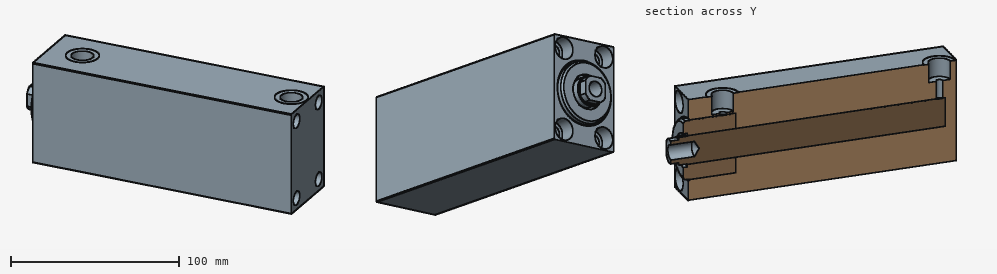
import cadquery as cq
import math

TOTAL_LENGTH = 181.0
ROD_PROJECTION = 11.0
HOUSING_LENGTH = TOTAL_LENGTH - ROD_PROJECTION
HOUSING_WIDTH = 45.0
HOUSING_HEIGHT = 65.0
HOUSING_EDGE_CHAMFER = 0.5

MOUNT_SPACING_Y = 30.0
MOUNT_SPACING_Z = 50.0
MOUNT_HOLE_DIA = 8.7
MOUNT_COUNTERBORE_DIA = 13.4
MOUNT_COUNTERBORE_DEPTH = 10.0

FRONT_PORT_X = 21.9
REAR_PORT_FROM_BACK = 10.7
PORT_POSITIONS_X = (FRONT_PORT_X, HOUSING_LENGTH - REAR_PORT_FROM_BACK)
PORT_SPOTFACE_DIA = 20.0
PORT_SPOTFACE_DEPTH = 0.2
PORT_THREAD_DIA = 13.4
PORT_THREAD_DEPTH = 12.0
PORT_DRILL_DIA = 4.0

GLAND_DIA = 38.0
GLAND_PROJECTION = 3.3
GLAND_CHAMFER = 1.3
GLAND_END_X = 30.0
GLAND_SEAT_CHAMFER = 1.0
ROD_RECESS_DIA = 21.4
ROD_RECESS_DEPTH = 2.7

ROD_DIA = 18.1
ROD_END_X = 162.9
ROD_SHOULDER_PROJECTION = 6.0
ROD_SHOULDER_CHAMFER = 0.5
TIP_DIA = ROD_DIA - 2 * ROD_SHOULDER_CHAMFER
TIP_ACROSS_FLATS = 15.0
TIP_LENGTH = ROD_PROJECTION - ROD_SHOULDER_PROJECTION
TIP_HOLE_DIA = 9.5
TIP_HOLE_DEPTH = 15.0
DRILL_POINT_ANGLE = 118.0


def x_cylinder(diameter, start_x, end_x):
    """Cylinder on the X axis between two X positions."""
    return cq.Workplane("YZ", origin=(start_x, 0, 0)).circle(diameter / 2).extrude(end_x - start_x)


def z_cylinder(diameter, x, bottom_z, top_z):
    """Vertical cylinder at Y = 0 between two heights."""
    return cq.Workplane("XY", origin=(x, 0, bottom_z)).circle(diameter / 2).extrude(top_z - bottom_z)


def mount_cylinders(diameter, depth):
    """Four cylinders in the mounting pattern, going back from the front face."""
    return (
        cq.Workplane("YZ")
        .rect(MOUNT_SPACING_Y, MOUNT_SPACING_Z, forConstruction=True)
        .vertices()
        .circle(diameter / 2)
        .extrude(depth)
    )


def port_cavity(x):
    """Spotfaced port whose small drilling runs down to the cylinder axis."""
    top = HOUSING_HEIGHT / 2
    drilling = z_cylinder(PORT_DRILL_DIA, x, 0, top)
    thread = z_cylinder(PORT_THREAD_DIA, x, top - PORT_THREAD_DEPTH, top)
    spotface = z_cylinder(PORT_SPOTFACE_DIA, x, top - PORT_SPOTFACE_DEPTH, top)
    return drilling.union(thread).union(spotface)


def seat_mouth():
    """Cone that chamfers the mouth of the gland seat."""
    seat_radius = GLAND_DIA / 2
    mouth = cq.Solid.makeCone(
        seat_radius + GLAND_SEAT_CHAMFER,
        seat_radius,
        GLAND_SEAT_CHAMFER,
        pnt=cq.Vector(0, 0, 0),
        dir=cq.Vector(1, 0, 0),
    )
    return cq.Workplane(mouth)


def make_housing():
    """Rectangular block with mounting holes, ports, and seats for the gland and the rod."""
    housing = (
        cq.Workplane("XY")
        .box(HOUSING_LENGTH, HOUSING_WIDTH, HOUSING_HEIGHT, centered=(False, True, True))
        .edges("|X")
        .chamfer(HOUSING_EDGE_CHAMFER)
    )
    housing = housing.cut(mount_cylinders(MOUNT_HOLE_DIA, HOUSING_LENGTH))
    housing = housing.cut(mount_cylinders(MOUNT_COUNTERBORE_DIA, MOUNT_COUNTERBORE_DEPTH))
    for x in PORT_POSITIONS_X:
        housing = housing.cut(port_cavity(x))

    housing = housing.cut(x_cylinder(GLAND_DIA, 0, GLAND_END_X)).cut(x_cylinder(ROD_DIA, 0, ROD_END_X))
    return housing.cut(seat_mouth())


def make_gland():
    """Chamfered plug with a through bore for the rod and a wider recess at its outer end."""
    gland = x_cylinder(GLAND_DIA, -GLAND_PROJECTION, GLAND_END_X).faces("<X").chamfer(GLAND_CHAMFER)
    gland = gland.cut(x_cylinder(ROD_DIA, -GLAND_PROJECTION, GLAND_END_X))
    recess = x_cylinder(ROD_RECESS_DIA, -GLAND_PROJECTION, ROD_RECESS_DEPTH - GLAND_PROJECTION)
    return gland.cut(recess)


def tip_hole():
    """Blind hole in the rod end, finished with a conical drill point."""
    radius = TIP_HOLE_DIA / 2
    bottom_x = TIP_HOLE_DEPTH - ROD_PROJECTION
    point_length = radius / math.tan(math.radians(DRILL_POINT_ANGLE / 2))
    half_profile = (
        cq.Workplane("XY")
        .moveTo(-ROD_PROJECTION, 0)
        .lineTo(-ROD_PROJECTION, radius)
        .lineTo(bottom_x, radius)
        .lineTo(bottom_x + point_length, 0)
        .close()
    )
    return half_profile.revolve(360, (0, 0, 0), (1, 0, 0))


def make_rod():
    """Rod with a four-flat wrench tip and a blind hole in its end."""
    shank = x_cylinder(ROD_DIA, -ROD_SHOULDER_PROJECTION, ROD_END_X)
    shank = shank.faces("<X").chamfer(ROD_SHOULDER_CHAMFER)

    flats = cq.Workplane("XY", origin=(-ROD_PROJECTION, 0, 0)).box(
        TIP_LENGTH, TIP_ACROSS_FLATS, TIP_ACROSS_FLATS, centered=(False, True, True)
    )
    tip = x_cylinder(TIP_DIA, -ROD_PROJECTION, -ROD_SHOULDER_PROJECTION).intersect(flats)
    return shank.union(tip).cut(tip_hole())


housing = make_housing()
gland = make_gland()
rod = make_rod()

result = cq.Compound.makeCompound([housing.val(), gland.val(), rod.val()])